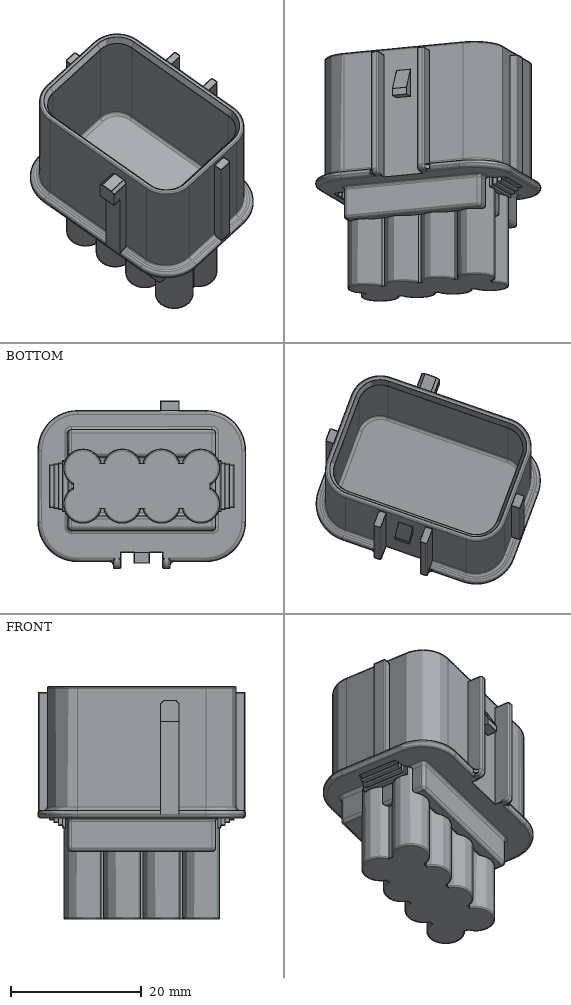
import cadquery as cq

total_height = 35.5

shell_length = 28.85
shell_width = 20.25
corner_radius = 4.65
rim_fillet = 0.25
wall = 1.25
mouth_chamfer_width = 0.57
mouth_chamfer_depth = 0.92

flange_bottom = 15.4
flange_thickness = 1.2
flange_overhang = 1.42
flange_edge_fillet = 0.57
foot_fillet = 0.5
flange_top = flange_bottom + flange_thickness
flange_middle = flange_bottom + flange_thickness / 2
flange_length = shell_length + 2 * flange_overhang
flange_width = shell_width + 2 * flange_overhang

cavity_floor = flange_top
floor_fillet = 0.5

rib_top = 34.58
end_rib_reach = 15.75
end_rib_width = 2.05
end_rib_y = 1.45
end_rib_foot = 16.33
end_rib_fillet = 0.15
rear_rib_tip = 12.6
rear_rib_inner = 3.2
rear_rib_thickness = 1.15
rear_rib_tip_fillet = 0.25
rear_rib_foot_fillet = 0.85
rib_root_fillet = 0.57

latch_width = 2.3
latch_tip = 11.75
latch_bottom = 27.7
latch_lip = 1.05
latch_top = 31.95

key_x = 4.3
key_width = 2.85
key_top = 33.37
key_hook_bottom = 30.18
key_hook_tip = -13.0
key_chamfer = 0.5

tube_diameter = 5.8
tube_pitch_x = 6.0
tube_pitch_y = 5.5
tube_columns = 4
tube_rows = 2
tube_tip_fillet = 0.2
core_length = 20.87
core_width = 6.9

block_length = 22.5
block_bottom = 10.33
block_fillet = 0.5
block_root_fillet = 0.5
front_block = (-4.45, -8.63)
centre_block = (1.0, -0.92)
rear_block = (6.75, 4.55)

step_count = 4
step_reach = 12.07
step_run = 0.67
lowest_step_bottom = 13.9
highest_step_bottom = 15.15
step_rise = (highest_step_bottom - lowest_step_bottom) / (step_count - 1)
lowest_step_width = 7.8
upper_step_width = 7.1
step_narrowing = 0.3
step_fillet = 0.15

overlap = 0.35
plane_margin = 0.05


def box(x_range, y_range, z_range):
    """Axis-aligned box between pairs of limits."""
    size = [max(r) - min(r) for r in (x_range, y_range, z_range)]
    low = tuple(min(r) for r in (x_range, y_range, z_range))
    return cq.Workplane("XY").box(*size, centered=False).translate(low)


def rounded_prism(length, width, radius, bottom, top):
    """Vertical prism on a centred rectangle with rounded corners."""
    prism = cq.Workplane("XY").workplane(offset=bottom).rect(length, width).extrude(top - bottom)
    return prism.edges("|Z").fillet(radius)


def make_shell():
    """Shell and flange as one outer solid, with the flange cut away between the rear ribs."""
    flange_radius = corner_radius + flange_overhang
    flange = rounded_prism(flange_length, flange_width, flange_radius, flange_bottom, flange_top)
    flange = flange.faces("<Z or >Z").edges().fillet(flange_edge_fillet)
    shell = rounded_prism(shell_length, shell_width, corner_radius, flange_bottom, total_height)
    shell = shell.faces(">Z").edges().fillet(rim_fillet)
    body = flange.union(shell)
    foot = cq.selectors.BoxSelector(
        (-shell_length, -shell_width, flange_top - plane_margin),
        (shell_length, shell_width, flange_top + plane_margin),
    )
    inner_loop = body.faces("|Z").faces(foot).wires(cq.selectors.LengthNthSelector(0)).edges()
    body = body.newObject(inner_loop.vals()).fillet(foot_fillet)
    gap = box(
        (-rear_rib_inner, rear_rib_inner),
        (shell_width / 2, flange_width),
        (flange_bottom, flange_top + 2 * foot_fillet),
    )
    return body.cut(gap)


def make_cavity():
    """Inside of the shell, rounded at the floor and flared at the mouth."""
    length = shell_length - 2 * wall
    width = shell_width - 2 * wall
    radius = corner_radius - wall
    cavity = rounded_prism(length, width, radius, cavity_floor, total_height)
    cavity = cavity.faces("<Z").edges().fillet(floor_fillet)
    flare = rounded_prism(
        length + 2 * mouth_chamfer_width,
        width + 2 * mouth_chamfer_width,
        radius + mouth_chamfer_width,
        total_height - mouth_chamfer_depth,
        total_height + overlap,
    )
    return cavity.union(flare.faces("<Z").chamfer(mouth_chamfer_depth, mouth_chamfer_width))


def make_end_rib():
    """Rib on the +X end wall."""
    rib = box(
        (shell_length / 2 - overlap, end_rib_reach),
        (end_rib_y - end_rib_width / 2, end_rib_y + end_rib_width / 2),
        (end_rib_foot, rib_top),
    )
    return rib.edges("|Z and >X").fillet(end_rib_fillet)


def make_rear_rib():
    """Rear rib on the +X side, with the rounded web that joins it to the flange edge."""
    outer_face = rear_rib_inner + rear_rib_thickness
    rib = box(
        (rear_rib_inner, outer_face),
        (shell_width / 2 - overlap, rear_rib_tip),
        (flange_bottom, rib_top),
    )
    rib = rib.edges("|X and >Y and <Z").fillet(rear_rib_foot_fillet)
    rib = rib.faces(">Y").edges("|Z").fillet(rear_rib_tip_fillet)
    edge_y = flange_width / 2
    web_bottom = flange_bottom + flange_edge_fillet / 2
    web = (
        cq.Workplane("XY")
        .workplane(offset=web_bottom)
        .moveTo(outer_face - overlap, edge_y - overlap)
        .lineTo(outer_face + rib_root_fillet, edge_y - overlap)
        .lineTo(outer_face + rib_root_fillet, edge_y)
        .radiusArc((outer_face, edge_y + rib_root_fillet), rib_root_fillet)
        .lineTo(outer_face - overlap, edge_y + rib_root_fillet)
        .close()
        .extrude(flange_thickness - flange_edge_fillet)
    )
    return rib.union(web)


def make_latch():
    """Wedge on the rear wall, sloping down and outward to a short lip."""
    wall_y = shell_width / 2
    return (
        cq.Workplane("YZ")
        .polyline([
            (wall_y - overlap, latch_bottom),
            (latch_tip, latch_bottom),
            (latch_tip, latch_bottom + latch_lip),
            (wall_y, latch_top),
            (wall_y - overlap, latch_top),
        ])
        .close()
        .extrude(latch_width / 2, both=True)
    )


def make_key():
    """Key on the front wall, flush with the flange edge and hooked at the top."""
    x_range = (key_x - key_width / 2, key_x + key_width / 2)
    inner_y = -shell_width / 2 + overlap
    stem = box(x_range, (inner_y, -flange_width / 2), (flange_middle, key_hook_bottom))
    hook = box(x_range, (inner_y, key_hook_tip), (key_hook_bottom, key_top))
    hook = hook.edges("|Y and >Z").chamfer(key_chamfer)
    return stem.union(hook)


def make_tubes():
    """Two rows of round tubes joined by a core that fills the gaps between them."""
    tube = cq.Workplane("XY").circle(tube_diameter / 2).extrude(flange_middle)
    tube = tube.faces("<Z").edges().fillet(tube_tip_fillet)
    bundle = cq.Workplane("XY").rect(core_length, core_width).extrude(flange_middle)
    for column in range(tube_columns):
        for row in range(tube_rows):
            x = (column - (tube_columns - 1) / 2) * tube_pitch_x
            y = (row - (tube_rows - 1) / 2) * tube_pitch_y
            bundle = bundle.union(tube.translate((x, y, 0)))
    return bundle


def make_block(y_range, rounded_side):
    """Block under the flange with a rounded foot; its outer upright edges are rounded too."""
    block = box((-block_length / 2, block_length / 2), y_range, (block_bottom, flange_middle))
    if rounded_side:
        block = block.faces(rounded_side).edges("|Z").fillet(block_fillet)
    return block.faces("<Z").edges().fillet(block_fillet)


def make_gusset():
    """Stepped support under the +X end of the flange; outer steps are shorter and narrower."""
    gusset = None
    for step in range(step_count):
        width = lowest_step_width if step == 0 else upper_step_width - (step - 1) * step_narrowing
        tread = box(
            (step_reach - step_count * step_run, step_reach + step * step_run),
            (-width / 2, width / 2),
            (lowest_step_bottom + step * step_rise, flange_middle),
        )
        tread = tread.faces("<Z").edges().fillet(step_fillet)
        gusset = tread if gusset is None else gusset.union(tread)
    return gusset


result = make_shell()
blocks = ((front_block, "<Y"), (centre_block, None), (rear_block, ">Y"))
for y_range, rounded_side in blocks:
    result = result.union(make_block(y_range, rounded_side))
root_zone = cq.selectors.BoxSelector(
    (-shell_length / 2, -shell_width / 2 + overlap, flange_bottom - plane_margin),
    (shell_length / 2, shell_width / 2 - overlap, flange_bottom + plane_margin),
)
result = result.edges(root_zone).fillet(block_root_fillet)
result = result.union(make_tubes())
for feature in (make_end_rib(), make_rear_rib(), make_gusset()):
    result = result.union(feature).union(feature.mirror("YZ"))
result = result.union(make_latch()).union(make_key()).cut(make_cavity())